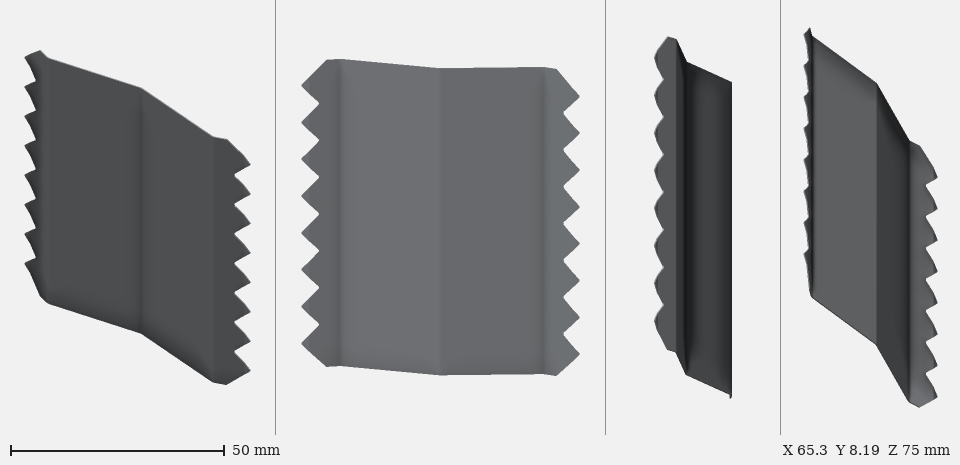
import cadquery as cq
import math

height = 75.0
thickness = 0.3
main_bend_radius = 1.5
lip_bend_radius = 1.0

valley_reach = 24.0
lip_fold_reach = 31.05
main_slope = -10.0
flank_slope = 20.0
lip_slope = 5.0
sheet_turn = 5.3

tooth_count = 8
tooth_pitch = 9.0
tooth_depth = 4.35
tip_reach = 32.9
tip_radius = 0.34
root_radius = 0.6
root_reach = tip_reach - tooth_depth
flank_run_per_height = tooth_depth / (tooth_pitch / 2)
top_tip_z = (tooth_count - 1) * tooth_pitch / 2
end_reach = tip_reach - (height / 2 - top_tip_z) * flank_run_per_height

blank_reach = tip_reach + root_radius
cutter_depth = 2 * valley_reach


def rise(run, slope):
    return run * math.tan(math.radians(slope))


def face_points(side):
    """Fold points of one face: side is +1 for the back face and -1 for the front face."""
    reaches = [0, valley_reach, lip_fold_reach, blank_reach]
    slopes = [main_slope, flank_slope, lip_slope]
    middle_y = 0.0
    half = []
    for i, reach in enumerate(reaches):
        before = slopes[i - 1] if i > 0 else -slopes[0]
        after = slopes[i] if i < len(slopes) else before
        if i > 0:
            middle_y += rise(reach - reaches[i - 1], before)
        mitre = math.radians((before + after) / 2)
        fold_half_angle = math.radians((after - before) / 2)
        offset = side * thickness / 2 / math.cos(fold_half_angle)
        half.append((reach - offset * math.sin(mitre), middle_y + offset * math.cos(mitre)))
    mirrored = [(-x, y) for x, y in reversed(half[1:])]
    return mirrored + half


def folded_strip():
    """Sheet with a ridge in the middle, a valley on each side and a shallow lip outside each valley."""
    bulges = [1, -1, 1, -1, 1]
    inner_radii = [lip_bend_radius, main_bend_radius, main_bend_radius, main_bend_radius, lip_bend_radius]
    back = face_points(1)
    front = face_points(-1)
    strip = cq.Workplane("XY").polyline(back + front[::-1]).close().extrude(height / 2, both=True)
    for face, side in ((back, 1), (front, -1)):
        for (x, y), bulge, inner_radius in zip(face[1:-1], bulges, inner_radii):
            radius = inner_radius + thickness if bulge == side else inner_radius
            strip = strip.edges(cq.selectors.NearestToPointSelector((x, y, 0))).fillet(radius)
    return strip


def edges_at(reach):
    """Selector for the corner edges at this distance on both sides of the ridge."""
    margin = tip_radius / 2
    boxes = [
        cq.selectors.BoxSelector((x - margin, -cutter_depth, -height), (x + margin, cutter_depth, height))
        for x in (-reach, reach)
    ]
    return boxes[0] + boxes[1]


def toothed_blank():
    """Flat outline with both toothed edges, extruded through the depth of the folded strip."""
    right_edge = [(end_reach, height / 2)]
    for i in range(tooth_count):
        tip_z = top_tip_z - i * tooth_pitch
        right_edge.append((tip_reach, tip_z))
        if i < tooth_count - 1:
            right_edge.append((root_reach, tip_z - tooth_pitch / 2))
    right_edge.append((end_reach, -height / 2))
    left_edge = [(-x, z) for x, z in reversed(right_edge)]
    blank = cq.Workplane("XZ").polyline(right_edge + left_edge).close().extrude(cutter_depth / 2, both=True)

    blank = blank.edges(edges_at(tip_reach)).fillet(tip_radius)
    return blank.edges(edges_at(root_reach)).fillet(root_radius)


sheet = folded_strip().intersect(toothed_blank()).rotate((0, 0, 0), (0, 0, 1), sheet_turn)
center = sheet.val().BoundingBox().center
result = sheet.translate((-center.x, -center.y, -center.z))